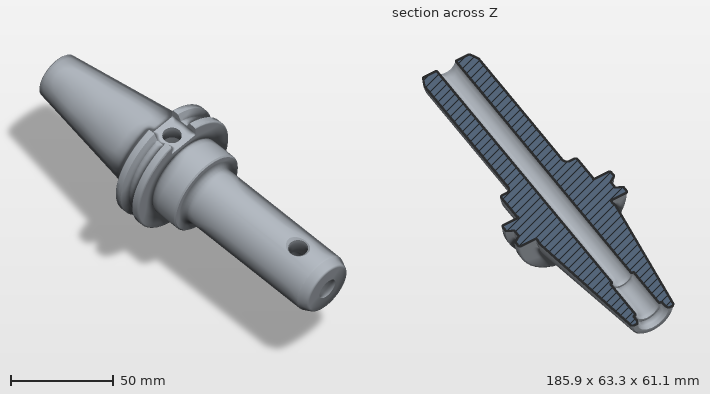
import cadquery as cq
import math


gauge_diameter = 44.45
taper_rate = 7 / 24
taper_length = 68.25
taper_end_chamfer = 0.8
undercut_diameter = 43.6
undercut_start = 1.6

flange_diameter = 63.26
flange_start = 3.18
flange_width = 15.88
flange_end = flange_start + flange_width
flange_rim_fillet = 1.0
groove_floor_diameter = 56.2
groove_floor_width = 3.9
groove_side_angle = 30
groove_center = flange_start + flange_width / 2

collar_diameter = gauge_diameter
collar_end = 35.0
collar_chamfer = 0.7
relief_diameter = undercut_diameter
relief_length = 0.9

nose_diameter = 31.75
nose_fillet = 2.6
nose_end = 117.6
nose_cone_length = 5.0
nose_cone_angle = 25
nose_shoulder_fillet = 1.5
nose_end_fillet = 1.2

bore_diameter = 11.0
thread_diameter = 13.39
thread_depth = 28.0
pilot_diameter = 16.3
pilot_depth = 5.0
pilot_chamfer_width = 0.9
pilot_chamfer_length = 1.8

slot_width = 16.4
slot_corner_radius = 0.9
top_slot_floor = 25.0
bottom_slot_floor = 22.6
dimple_diameter = 9.53
dimple_depth = 8.0
drill_point_angle = 118

screw_hole_diameter = 9.73
screw_countersink_diameter = 12.7
screw_hole_from_end = 20.1


def make_body():
    """Revolve the whole outer profile about X."""
    flange_radius = flange_diameter / 2
    groove_floor_radius = groove_floor_diameter / 2
    floor_half = groove_floor_width / 2
    groove_depth = flange_radius - groove_floor_radius
    groove_half = floor_half + groove_depth * math.tan(math.radians(groove_side_angle))
    small_end_radius = (gauge_diameter - taper_length * taper_rate) / 2
    chamfer_radius = small_end_radius + taper_end_chamfer * taper_rate / 2
    undercut_radius = undercut_diameter / 2
    collar_radius = collar_diameter / 2
    relief_radius = relief_diameter / 2
    nose_radius = nose_diameter / 2
    nose_face_radius = nose_radius - nose_cone_length * math.tan(math.radians(nose_cone_angle))

    profile = (
        cq.Workplane("XY")
        .moveTo(-taper_length, 0)
        .lineTo(-taper_length, small_end_radius - taper_end_chamfer)
        .lineTo(-taper_length + taper_end_chamfer, chamfer_radius)
        .lineTo(0, gauge_diameter / 2)
        .lineTo(undercut_start, undercut_radius)
        .lineTo(flange_start, undercut_radius)
        .lineTo(flange_start, flange_radius - flange_rim_fillet)
        .radiusArc((flange_start + flange_rim_fillet, flange_radius), flange_rim_fillet)
        .lineTo(groove_center - groove_half, flange_radius)
        .lineTo(groove_center - floor_half, groove_floor_radius)
        .lineTo(groove_center + floor_half, groove_floor_radius)
        .lineTo(groove_center + groove_half, flange_radius)
        .lineTo(flange_end - flange_rim_fillet, flange_radius)
        .radiusArc((flange_end, flange_radius - flange_rim_fillet), flange_rim_fillet)
        .lineTo(flange_end, relief_radius)
        .lineTo(flange_end + relief_length, collar_radius)
        .lineTo(collar_end - collar_chamfer, collar_radius)
        .lineTo(collar_end, collar_radius - collar_chamfer)
        .lineTo(collar_end, nose_radius + nose_fillet)
        .radiusArc((collar_end + nose_fillet, nose_radius), -nose_fillet)
        .lineTo(nose_end - nose_cone_length, nose_radius)
        .lineTo(nose_end, nose_face_radius)
        .lineTo(nose_end, 0)
        .close()
    )
    body = profile.revolve(360, (0, 0, 0), (1, 0, 0))
    body = body.faces(">X").edges().fillet(nose_end_fillet)
    shoulder = cq.selectors.NearestToPointSelector((nose_end - nose_cone_length, 0, 0))
    return body.edges("%CIRCLE").edges(shoulder).fillet(nose_shoulder_fillet)


def make_bore():
    """Stepped through bore, widest at the small end of the taper."""
    start = -taper_length
    bore_radius = bore_diameter / 2
    thread_radius = thread_diameter / 2
    pilot_radius = pilot_diameter / 2
    return (
        cq.Workplane("XY")
        .moveTo(start, 0)
        .lineTo(start, pilot_radius + pilot_chamfer_width)
        .lineTo(start + pilot_chamfer_length, pilot_radius)
        .lineTo(start + pilot_depth, pilot_radius)
        .lineTo(start + pilot_depth, thread_radius)
        .lineTo(start + thread_depth, thread_radius)
        .lineTo(start + thread_depth, bore_radius)
        .lineTo(nose_end, bore_radius)
        .lineTo(nose_end, 0)
        .close()
        .revolve(360, (0, 0, 0), (1, 0, 0))
    )


def make_drive_slot(floor_height):
    """Slot across the flange on the +Z side, rounded along both floor corners."""
    slot_height = flange_diameter / 2
    slot = cq.Workplane("XY").box(flange_width, slot_width, slot_height, centered=(False, True, False))
    slot = slot.faces("<Z").edges("|X").fillet(slot_corner_radius)
    return slot.translate((flange_start, 0, floor_height))


def make_dimple():
    """Blind drilled hole with a conical bottom, in the floor of the top slot."""
    dimple_radius = dimple_diameter / 2
    point_length = dimple_radius / math.tan(math.radians(drill_point_angle / 2))
    return (
        cq.Workplane("XZ")
        .lineTo(dimple_radius, 0)
        .lineTo(dimple_radius, -dimple_depth)
        .lineTo(0, -dimple_depth - point_length)
        .close()
        .revolve(360, (0, 0, 0), (0, 1, 0))
        .translate((groove_center, 0, top_slot_floor))
    )


def make_screw_hole():
    """Countersunk radial hole from the top of the nose into the bore."""
    nose_radius = nose_diameter / 2
    hole_radius = screw_hole_diameter / 2
    countersink_radius = screw_countersink_diameter / 2
    countersink_depth = countersink_radius - hole_radius
    return (
        cq.Workplane("XZ")
        .lineTo(hole_radius, 0)
        .lineTo(hole_radius, nose_radius - countersink_depth)
        .lineTo(countersink_radius, nose_radius)
        .lineTo(0, nose_radius)
        .close()
        .revolve(360, (0, 0, 0), (0, 1, 0))
        .translate((nose_end - screw_hole_from_end, 0, 0))
    )


top_slot = make_drive_slot(top_slot_floor)
bottom_slot = make_drive_slot(bottom_slot_floor).rotate((0, 0, 0), (1, 0, 0), 180)

result = (
    make_body()
    .cut(make_bore())
    .cut(top_slot)
    .cut(bottom_slot)
    .cut(make_dimple())
    .cut(make_screw_hole())
)